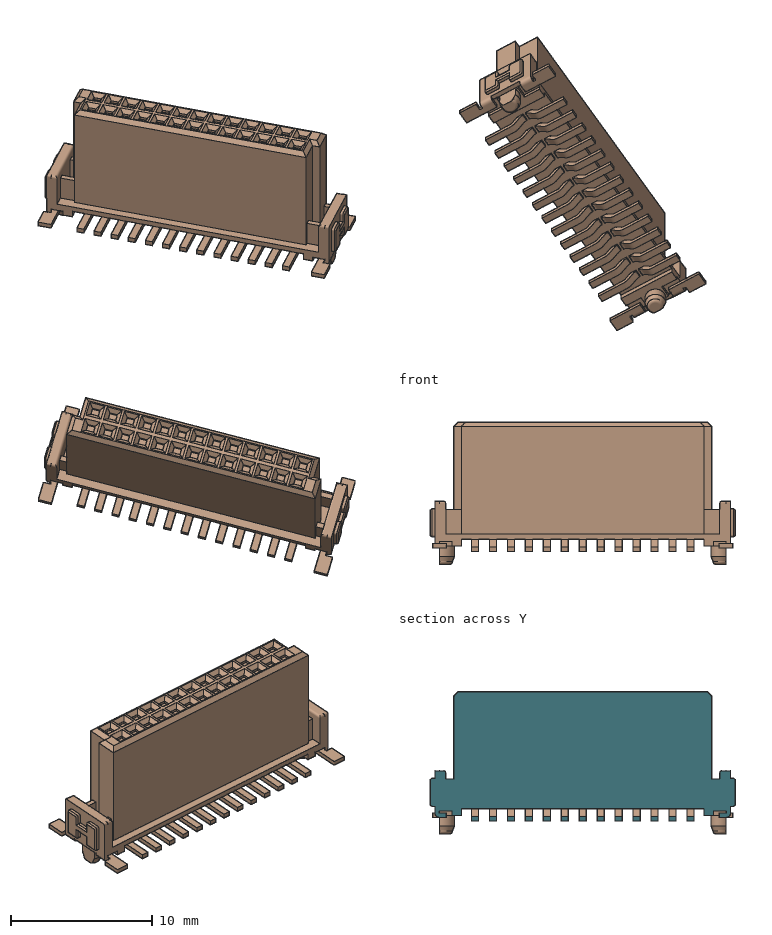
import cadquery as cq
import math


LENGTH = 21.6
OVERALL_WIDTH = 7.4

TOWER_TOP = 9.18
TOWER_HALF_WIDTH = 1.53
WIDE_HALF_LENGTH = 9.13
NARROW_HALF_LENGTH = 8.6
KEY_STEP_Y = -0.02
TOWER_CHAMFER = 0.3

COLUMNS = 13
ROW_SPAN = 15.25
PITCH = ROW_SPAN / (COLUMNS - 1)
COLUMN_X = [(column - (COLUMNS - 1) / 2) * PITCH for column in range(COLUMNS)]
ROW_Y = (-PITCH / 2, PITCH / 2)
FUNNEL_LENGTH = 1.1
FUNNEL_WIDTH = 1.01
FUNNEL_INSET = 0.28
FUNNEL_DEPTH = 0.28
SHAFT_DEPTH = 0.17

LEAD_WIDTH = 0.52
LEAD_THICKNESS = 0.35
LEAD_TIP = 3.24
LEAD_ROOT = 0.1
LEAD_BEND = 0.95
LEAD_BEND_ANGLE = 45.0
LEAD_INNER_RADIUS = 0.22
LEAD_OVERLAP = 0.17

BASE_HALF_WIDTH = 2.12
BASE_BOTTOM = 0.86
BASE_TOP = 1.25
FOOT_BOTTOM = 0.39
FOOT_INNER = 8.57
WALL_INNER = 9.7
WALL_OUTER = 10.15
WALL_TOP = 3.58
WALL_FILLET = 0.17

RIB_TOP = 3.0
RIB_INNER = 0.97
RIB_OUTER = 1.34

RECESS_DEPTH = 0.32
RECESS_INNER = 9.26
RECESS_START = 0.86

CLIP_THICKNESS = 0.32
CLIP_OUTER = WALL_OUTER + CLIP_THICKNESS
CLIP_BOTTOM = 0.25
CLIP_CORNER = 0.13
STRIP_START = 1.19
STRIP_INNER = 9.65
NECK_OUTER = 10.1
PAD_START = 2.33
PAD_END = OVERALL_WIDTH / 2
PAD_OUTER = 10.62
PAD_CORNER = 0.05

H_BOTTOM = 1.04
H_TOP = 3.05
H_HALF_WIDTH = 1.53
H_LEG_WIDTH = 1.05
H_BAR_HEIGHT = 0.6
H_CORNER = 0.15
H_EDGE = 0.1

PEG_X = 9.8
PEG_RADIUS = 0.73
PEG_TAPER_START = -0.32
PEG_TAPER_END = -0.7
PEG_TAPER_RADIUS = 0.58
PEG_BOTTOM = -0.9
PEG_TIP_RADIUS = 0.37


def box(x_range, y_range, z_range):
    """Box between the given limits on each axis."""
    (x0, x1), (y0, y1), (z0, z1) = x_range, y_range, z_range
    return cq.Workplane("XY").box(x1 - x0, y1 - y0, z1 - z0, centered=False).translate((x0, y0, z0))


def both_sides(shape):
    """The shape together with its mirror image across the XZ plane."""
    return shape.union(shape.mirror("XZ"))


def both_ends(shape):
    """The shape together with its mirror image across the YZ plane."""
    return shape.union(shape.mirror("YZ"))


def make_tower():
    outline = [
        (-WIDE_HALF_LENGTH, TOWER_HALF_WIDTH),
        (WIDE_HALF_LENGTH, TOWER_HALF_WIDTH),
        (WIDE_HALF_LENGTH, KEY_STEP_Y),
        (NARROW_HALF_LENGTH, KEY_STEP_Y),
        (NARROW_HALF_LENGTH, -TOWER_HALF_WIDTH),
        (-NARROW_HALF_LENGTH, -TOWER_HALF_WIDTH),
        (-NARROW_HALF_LENGTH, KEY_STEP_Y),
        (-WIDE_HALF_LENGTH, KEY_STEP_Y),
    ]
    tower = cq.Workplane("XY").workplane(offset=BASE_BOTTOM).polyline(outline).close()
    return tower.extrude(TOWER_TOP - BASE_BOTTOM).faces(">Z").chamfer(TOWER_CHAMFER)


def make_sockets():
    """Lead-in funnels, each ending in a shallow rectangular shaft."""
    centers = [(x, y) for x in COLUMN_X for y in ROW_Y]
    shaft_length = FUNNEL_LENGTH - 2 * FUNNEL_INSET
    shaft_width = FUNNEL_WIDTH - 2 * FUNNEL_INSET
    taper = math.degrees(math.atan2(FUNNEL_INSET, FUNNEL_DEPTH))
    top = cq.Workplane("XY").workplane(offset=TOWER_TOP).pushPoints(centers)
    funnels = top.rect(FUNNEL_LENGTH, FUNNEL_WIDTH).extrude(-FUNNEL_DEPTH, taper=taper)
    shafts = top.rect(shaft_length, shaft_width).extrude(-FUNNEL_DEPTH - SHAFT_DEPTH)
    return funnels.union(shafts)


def make_lead():
    """S-bent lead on the +Y side, centred on x = 0."""
    rise = BASE_BOTTOM + LEAD_OVERLAP - LEAD_THICKNESS
    run = rise / math.tan(math.radians(LEAD_BEND_ANGLE))
    miter = LEAD_THICKNESS * math.tan(math.radians(LEAD_BEND_ANGLE / 2))
    lower_bends = [(LEAD_BEND, 0), (LEAD_BEND - run, rise)]
    upper_bends = [(y + miter, z + LEAD_THICKNESS) for y, z in lower_bends]
    outline = [
        (LEAD_TIP, 0),
        *lower_bends,
        (LEAD_ROOT, rise),
        (LEAD_ROOT, rise + LEAD_THICKNESS),
        *reversed(upper_bends),
        (LEAD_TIP, LEAD_THICKNESS),
    ]
    lead = cq.Workplane("YZ").polyline(outline).close().extrude(LEAD_WIDTH / 2, both=True)

    def round_bend(shape, corner, radius):
        return shape.edges(cq.selectors.NearestToPointSelector((0, *corner))).fillet(radius)

    outer_radius = LEAD_INNER_RADIUS + LEAD_THICKNESS
    lead = round_bend(lead, lower_bends[0], outer_radius)
    lead = round_bend(lead, upper_bends[0], LEAD_INNER_RADIUS)
    lead = round_bend(lead, lower_bends[1], LEAD_INNER_RADIUS)
    return round_bend(lead, upper_bends[1], outer_radius)


def make_base():
    """Flange below the tower, running between the end walls."""
    return box(
        (-WALL_OUTER, WALL_OUTER),
        (-BASE_HALF_WIDTH, BASE_HALF_WIDTH),
        (BASE_BOTTOM, BASE_TOP),
    )


def make_end_body():
    """End wall, foot and ribs at the -X end."""
    width = (-BASE_HALF_WIDTH, BASE_HALF_WIDTH)
    wall = box((-WALL_OUTER, -WALL_INNER), width, (FOOT_BOTTOM, WALL_TOP))
    wall = wall.faces(">Z").edges(">X or >Y or <Y").fillet(WALL_FILLET)
    foot = box((-WALL_OUTER, -FOOT_INNER), width, (FOOT_BOTTOM, BASE_TOP))
    recess = box(
        (-WALL_OUTER, -RECESS_INNER),
        (RECESS_START, BASE_HALF_WIDTH),
        (FOOT_BOTTOM, FOOT_BOTTOM + RECESS_DEPTH),
    )
    rib = box((-WALL_INNER, -NARROW_HALF_LENGTH), (RIB_INNER, RIB_OUTER), (BASE_TOP, RIB_TOP))
    return wall.union(foot).cut(both_sides(recess)).union(both_sides(rib))


def make_clip():
    """Plate with two bent strips that carry the solder pads, at the -X end."""
    clip_top = CLIP_BOTTOM + CLIP_THICKNESS
    plate = box(
        (-CLIP_OUTER, -WALL_OUTER),
        (-BASE_HALF_WIDTH, BASE_HALF_WIDTH),
        (clip_top, WALL_TOP),
    )
    plate = plate.edges("|X and >Z").fillet(CLIP_CORNER)

    bend = (
        cq.Workplane("XZ", origin=(0, STRIP_START, 0))
        .moveTo(-CLIP_OUTER, clip_top)
        .radiusArc((-WALL_OUTER, CLIP_BOTTOM), -CLIP_THICKNESS)
        .lineTo(-STRIP_INNER, CLIP_BOTTOM)
        .lineTo(-STRIP_INNER, clip_top)
        .close()
        .extrude(STRIP_START - BASE_HALF_WIDTH)
    )
    pad_outline = [
        (-STRIP_INNER, BASE_HALF_WIDTH),
        (-STRIP_INNER, PAD_END),
        (-PAD_OUTER, PAD_END),
        (-PAD_OUTER, PAD_START),
        (-NECK_OUTER, PAD_START),
        (-NECK_OUTER, BASE_HALF_WIDTH),
    ]
    pad = cq.Workplane("XY").workplane(offset=CLIP_BOTTOM).polyline(pad_outline).close()
    pad = pad.extrude(CLIP_THICKNESS).edges("|Z and (not <Y)").fillet(PAD_CORNER)
    return plate.union(both_sides(bend.union(pad)))


def make_h_mark():
    """Raised H on the outside of the clip plate at the -X end."""
    x_range = (-LENGTH / 2, -CLIP_OUTER)
    leg_inner = H_HALF_WIDTH - H_LEG_WIDTH
    middle = (H_BOTTOM + H_TOP) / 2
    leg = box(x_range, (leg_inner, H_HALF_WIDTH), (H_BOTTOM, H_TOP)).edges("|X").fillet(H_CORNER)
    bar = box(
        x_range,
        (-leg_inner, leg_inner),
        (middle - H_BAR_HEIGHT / 2, middle + H_BAR_HEIGHT / 2),
    )
    return both_sides(leg).union(bar).faces("<X").edges().chamfer(H_EDGE)


def make_peg():
    """Locating peg below the foot at the -X end."""
    peg = (
        cq.Workplane("XZ")
        .moveTo(0, FOOT_BOTTOM + RECESS_DEPTH)
        .lineTo(PEG_RADIUS, FOOT_BOTTOM + RECESS_DEPTH)
        .lineTo(PEG_RADIUS, PEG_TAPER_START)
        .lineTo(PEG_TAPER_RADIUS, PEG_TAPER_END)
        .radiusArc((PEG_TIP_RADIUS, PEG_BOTTOM), PEG_TAPER_END - PEG_BOTTOM)
        .lineTo(0, PEG_BOTTOM)
        .close()
        .revolve(360, (0, 0, 0), (0, 1, 0))
        .translate((-PEG_X, 0, 0))
    )
    kept = box(
        (-WALL_OUTER, PEG_RADIUS - PEG_X),
        (-PEG_RADIUS, PEG_RADIUS),
        (PEG_BOTTOM, FOOT_BOTTOM + RECESS_DEPTH),
    )
    return peg.intersect(kept)


housing = make_base().union(make_tower()).cut(make_sockets())
end = make_end_body().union(make_peg()).union(make_clip()).union(make_h_mark())
result = housing.union(both_ends(end))

lead_pair = both_sides(make_lead())
for x in COLUMN_X:
    result = result.union(lead_pair.translate((x, 0, 0)))